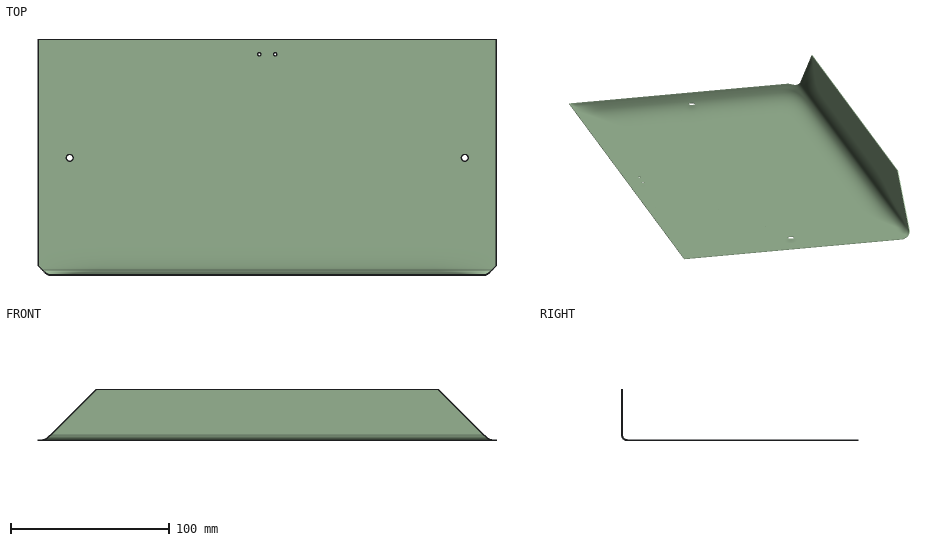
import cadquery as cq
import math

width = 290.0
depth = 149.47
height = 32.47

thickness = 0.5
inner_radius = 3.0
outer_radius = inner_radius + thickness
neutral_radius = inner_radius + thickness / 2
bend_length = neutral_radius * math.pi / 2

corner_cut = 36.8

mount_hole_diameter = 4.2
mount_hole_spacing = 250.0
mount_hole_from_back = 75.0
small_hole_diameter = 2.0
small_hole_spacing = 10.0
small_hole_from_back = 9.5

back_y = depth / 2
front_y = -depth / 2
bend_start_y = front_y + outer_radius
bend_end_z = outer_radius

flange_length = height - outer_radius
base_cut = corner_cut - flange_length - bend_length
half_width = width / 2
half_at_bend_start = half_width - base_cut
half_at_bend_end = half_at_bend_start - bend_length
half_at_top = half_at_bend_end - flange_length


def make_base():
    """Flat sheet with both front corners cut at 45 degrees."""
    outline = [
        (-half_width, back_y),
        (half_width, back_y),
        (half_width, bend_start_y + base_cut),
        (half_at_bend_start, bend_start_y),
        (-half_at_bend_start, bend_start_y),
        (-half_width, bend_start_y + base_cut),
    ]
    return cq.Workplane("XY").polyline(outline).close().extrude(thickness)


def make_flange():
    """Upright trapezoid whose outer face is on the front of the part."""
    outline = [
        (-half_at_bend_end, bend_end_z),
        (half_at_bend_end, bend_end_z),
        (half_at_top, height),
        (-half_at_top, height),
    ]
    front_plane = cq.Workplane("XZ", origin=(0, front_y, 0))
    return front_plane.polyline(outline).close().extrude(-thickness)


def make_bend():
    """Quarter-round bend, its ends following the 45 degree cut as a helix."""
    diagonal = math.sqrt(0.5)
    side_plane = cq.Workplane("YZ", origin=(-half_at_bend_start, bend_start_y, outer_radius))
    bend = (
        side_plane.moveTo(0, -outer_radius)
        .threePointArc((-outer_radius * diagonal, -outer_radius * diagonal), (-outer_radius, 0))
        .lineTo(-inner_radius, 0)
        .threePointArc((-inner_radius * diagonal, -inner_radius * diagonal), (0, -inner_radius))
        .close()
        .extrude(2 * half_at_bend_start)
    )
    reach = 2 * outer_radius
    end_cutter = (
        side_plane.moveTo(-reach / 2, 0)
        .rect(reach, 2 * reach)
        .twistExtrude(bend_length, -90)
    )
    return bend.cut(end_cutter).cut(end_cutter.mirror("YZ"))


def drill_pair(body, diameter, spacing, from_back):
    """Two through holes in the base, placed evenly about the centre line."""
    y = back_y - from_back
    drills = (
        cq.Workplane("XY")
        .pushPoints([(-spacing / 2, y), (spacing / 2, y)])
        .circle(diameter / 2)
        .extrude(thickness)
    )
    return body.cut(drills)


result = make_base().union(make_bend()).union(make_flange())
result = drill_pair(result, mount_hole_diameter, mount_hole_spacing, mount_hole_from_back)
result = drill_pair(result, small_hole_diameter, small_hole_spacing, small_hole_from_back)